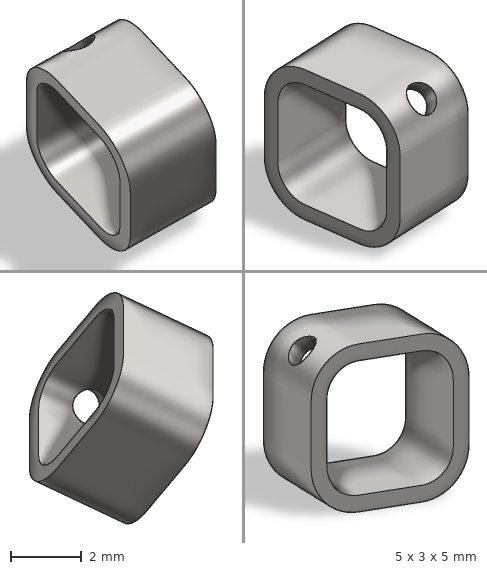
import cadquery as cq

side = 5.0
depth = 3.0
wall = 0.5
outer_radius = 1.5
inner_radius = outer_radius - wall

hole_diameter = 1.0


def rounded_prism(width, corner_radius):
    """Square prism along Y, centred on the origin, with rounded long edges."""
    return cq.Workplane("XY").box(width, depth, width).edges("|Y").fillet(corner_radius)


def corner_hole_cutter():
    """Cylinder from the ring's centre out through the -X, +Z corner at 45 degrees."""
    diagonal = cq.Plane(origin=(0, 0, 0), xDir=(0, 1, 0), normal=(-1, 0, 1))
    return cq.Workplane(diagonal).circle(hole_diameter / 2).extrude(side)


ring = rounded_prism(side, outer_radius).cut(rounded_prism(side - 2 * wall, inner_radius))
result = ring.cut(corner_hole_cutter())